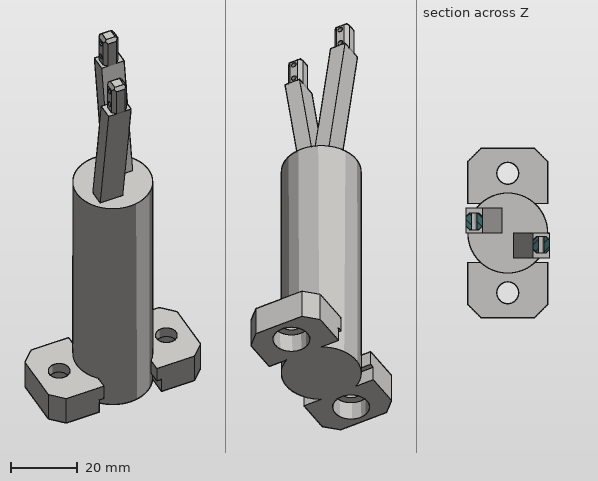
import cadquery as cq

BARREL_DIAMETER = 24.0
BARREL_HEIGHT = 80.0

FOOT_SPAN = 51.0
FOOT_HEIGHT = 10.0
FOOT_LIP_Y = 8.8
FOOT_RECESS_Y = 10.4
FOOT_RECESS_HEIGHT = 5.0
CORNER_CUT = 4.0
BOLT_HOLE_DIAMETER = 6.5
BOLT_HOLE_Y = 18.0
COUNTERBORE_DIAMETER = 11.0
COUNTERBORE_DEPTH = 6.5

OVERALL_WIDTH = 25.2
OVERALL_HEIGHT = 130.0
LEAD_THICKNESS = 5.1
LEAD_DEPTH = 7.5
LEAD_BASE_X = 4.3
LEAD_TOP_X = (OVERALL_WIDTH - LEAD_THICKNESS) / 2

TIP_LENGTH = 10.0
TIP_BOTTOM = OVERALL_HEIGHT - TIP_LENGTH
TIP_WIDTH = LEAD_THICKNESS
TIP_Y = 3.5
TIP_EDGE_CHAMFER = 1.2
TIP_TOP_CHAMFER = 1.0
WIRE_HOLE_DIAMETER = 1.5
WIRE_HOLE_DROPS = (2.5, 7.7)


def foot():
    """Foot on the +Y side, with an undercut below its inner lip and a hole counterbored from below."""
    outer_y = FOOT_SPAN / 2
    half_width = BARREL_DIAMETER / 2
    profile = [
        (outer_y, 0),
        (outer_y, FOOT_HEIGHT),
        (FOOT_LIP_Y, FOOT_HEIGHT),
        (FOOT_LIP_Y, FOOT_RECESS_HEIGHT),
        (FOOT_RECESS_Y, FOOT_RECESS_HEIGHT),
        (FOOT_RECESS_Y, 0),
    ]
    block = cq.Workplane("YZ").polyline(profile).close().extrude(half_width, both=True)
    plan = [
        (-half_width, 0),
        (half_width, 0),
        (half_width, outer_y - CORNER_CUT),
        (half_width - CORNER_CUT, outer_y),
        (-half_width + CORNER_CUT, outer_y),
        (-half_width, outer_y - CORNER_CUT),
    ]
    outline = cq.Workplane("XY").polyline(plan).close().extrude(FOOT_HEIGHT)
    hole_centre = cq.Workplane("XY", origin=(0, BOLT_HOLE_Y, 0))
    bolt_hole = hole_centre.circle(BOLT_HOLE_DIAMETER / 2).extrude(FOOT_HEIGHT)
    counterbore = hole_centre.circle(COUNTERBORE_DIAMETER / 2).extrude(COUNTERBORE_DEPTH)
    return block.intersect(outline).cut(bolt_hole).cut(counterbore)


def make_housing():
    """Barrel with a foot on each side, as one solid."""
    housing = cq.Workplane("XY").circle(BARREL_DIAMETER / 2).extrude(BARREL_HEIGHT)
    for angle in (0, 180):
        housing = housing.union(foot().rotate((0, 0, 0), (0, 0, 1), angle))
    return housing


def lead_tip():
    """Chamfered upright tip, with wire holes through it along Y."""
    block = cq.Workplane("XY", origin=(-LEAD_TOP_X, TIP_Y, TIP_BOTTOM)).box(
        TIP_WIDTH, TIP_WIDTH, TIP_LENGTH, centered=(True, True, False)
    )
    chamfered_top = block.faces(">Z").chamfer(TIP_TOP_CHAMFER)
    chamfered_sides = block.edges("|Z").chamfer(TIP_EDGE_CHAMFER)
    tip = chamfered_top.intersect(chamfered_sides)
    hole_centres = [(-LEAD_TOP_X, OVERALL_HEIGHT - drop) for drop in WIRE_HOLE_DROPS]
    wire_holes = (
        cq.Workplane("XZ").pushPoints(hole_centres).circle(WIRE_HOLE_DIAMETER / 2).extrude(-LEAD_DEPTH)
    )
    return tip.cut(wire_holes)


def make_lead():
    """Lead that leans toward -X, standing on the barrel top and ending in its tip."""
    half = LEAD_THICKNESS / 2
    side = [
        (-LEAD_BASE_X - half, BARREL_HEIGHT),
        (-LEAD_BASE_X + half, BARREL_HEIGHT),
        (-LEAD_TOP_X + half, TIP_BOTTOM),
        (-LEAD_TOP_X - half, TIP_BOTTOM),
    ]
    bar = cq.Workplane("XZ").polyline(side).close().extrude(-LEAD_DEPTH)
    return bar.union(lead_tip())


housing = make_housing()
leads = [make_lead().rotate((0, 0, 0), (0, 0, 1), angle) for angle in (0, 180)]

result = cq.Compound.makeCompound([housing.val(), *[lead.val() for lead in leads]])